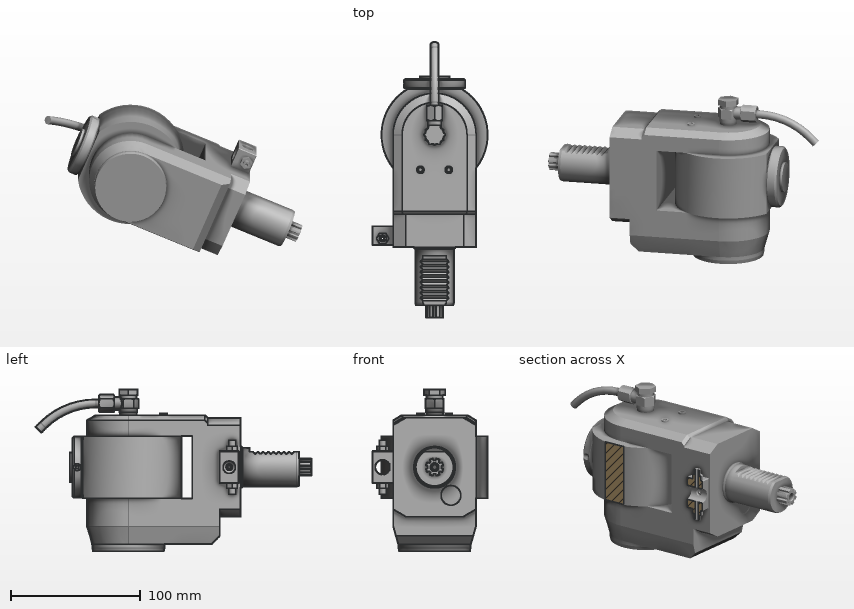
import cadquery as cq
import math


HALF_WIDTH = 32.0
OUTLINE_START_Y = -40.0
TOP_Z = 40.2
BOTTOM_Z = -59.2
SPINDLE_Y = 86.5
BEVEL_SLOPE = math.tan(math.radians(30))
TOP_BEVEL_WIDTH = 7.0
TAPER_START_Z = -45.4
TAPER_ANGLE = 16.0
LOWER_FRONT_Y = 16.0
LOWER_FRONT_CHAMFER = 6.3
WINDOW_HALF_HEIGHT = 24.0
WINDOW_FRONT_Y = 37.3

FLANGE_HALF_HEIGHT = 38.0
FLANGE_BEVEL_WIDTH = 9.7
FLANGE_LENGTH = 25.2
FLANGE_STEP_LENGTH = 2.3
STEP_FOOT_BEVEL_WIDTH = 7.5
PIN_HOLE_X = 12.6
PIN_HOLE_Z = -21.7
PIN_HOLE_RADIUS = 7.6
PIN_HOLE_DEPTH = 0.5

DRUM_RADIUS = 41.0
DRUM_FLAT_Y = 121.6
COVER_RADIUS = 27.9
COVER_RIM_HEIGHT = 2.8
COVER_END_RADIUS = 27.3
COVER_BOTTOM_Z = -64.9
NUT_RADIUS = 23.7
NUT_START_Y = 122.3
NUT_END_Y = 129.8
NUT_NECK_RADIUS = 21.4
NUT_FRONT_CHAMFER = 0.5
NUT_REAR_CHAMFER = 1.4
NOSE_RADIUS = 11.5
NOSE_END_Y = 131.7
NUT_SCREW_Y = 125.9
NUT_SCREW_RADIUS = 2.8
NUT_SCREW_BORE_RADIUS = 1.2
NUT_SCREW_DEPTH = 3.0

SHANK_RADIUS = 15.0
SHANK_LENGTH = 45.0
SHANK_END_CHAMFER = (2.0, 0.6)
COLLAR_RADIUS = 16.0
COLLAR_LENGTH = 1.6
FLAT_Z = 12.0
FLAT_START_Y = -6.9
FIRST_NOTCH_Y = -11.3
NOTCH_PITCH = 4.0
NOTCH_COUNT = 8
NOTCH_DEPTH = 1.8

SPLINE_RADIUS = 6.9
SPLINE_ROOT_RADIUS = 5.2
SPLINE_TOOTH_WIDTH = 2.6
SPLINE_TEETH = 8
SPLINE_LENGTH = 9.6
SPLINE_CHAMFER = 0.4
CENTRE_HOLE_RADIUS = 2.0
CENTRE_BORE_RADIUS = 2.7
CENTRE_BORE_DEPTH = 3.0
CENTRE_SINK_RADIUS = 3.3
CENTRE_HOLE_DEPTH = 6.0

BLOCK_OUTER_X = -48.0
BLOCK_START_Y = 1.2
BLOCK_END_Y = 16.2
BLOCK_HALF_HEIGHT = 12.5
BLOCK_CHAMFER = 0.5
BLOCK_PORT_X = -40.0
BLOCK_PORT_RADIUS = 5.6
SIDE_PORT_Y = 8.8
SIDE_PORT_RADIUS = 4.8
SIDE_PORT_BORE_RADIUS = 2.5
SIDE_PORT_BORE_DEPTH = 15.0
SIDE_PORT_PILOT_RADIUS = 1.3
NIPPLE_Y = 6.6
NIPPLE_HEX_ACROSS = 8.2
NIPPLE_HEX_HEIGHT = 3.8
NIPPLE_RADIUS = 2.7
NIPPLE_HEIGHT = 8.4
NIPPLE_BORE_RADIUS = 1.2

SCREW_X = 10.9
SCREW_Y = 59.5
SCREW_RADIUS = 2.8
SCREW_HEIGHT = 1.3
SCREW_SOCKET_ACROSS = 3.2

FITTING_BASE_RADIUS = 6.5
FITTING_RIM_RADIUS = 6.9
FITTING_NECK_RADIUS = 6.4
FITTING_HEX_ACROSS = 14.0
FITTING_HEX_CHAMFER = 0.8
FITTING_HEX_BOTTOM_Z = 45.3
FITTING_HEX_TOP_Z = 52.9
FITTING_RIM_BOTTOM_Z = 42.2
BOLT_HEAD_ACROSS = 14.3
BOLT_HEAD_BOTTOM_Z = 55.5
BOLT_HEAD_TOP_Z = 60.0
HOSE_Z = 49.1
STUB_RADIUS = 5.1
HOSE_NUT_START_Y = 97.3
HOSE_NUT_END_Y = 109.2
HOSE_NUT_ACROSS = 12.0
HOSE_NUT_CHAMFER = 0.9
HOSE_RADIUS = 3.2
HOSE_BEND_START_Y = 111.8
HOSE_BEND_RADIUS = 57.2
HOSE_BEND_ANGLE = 45.0
HOSE_TIP_LENGTH = 5.06


def box(x_range, y_range, z_range):
    """Box between two limits on each axis."""
    size = [high - low for low, high in (x_range, y_range, z_range)]
    corner = (x_range[0], y_range[0], z_range[0])
    return cq.Workplane("XY").box(*size, centered=False).translate(corner)


def cylinder(start, direction, radius, length):
    """Cylinder from a start point along a direction."""
    return cq.Workplane(cq.Solid.makeCylinder(radius, length, cq.Vector(*start), cq.Vector(*direction)))


def cone(start, direction, start_radius, end_radius, length):
    """Truncated cone from a start point along a direction."""
    return cq.Workplane(
        cq.Solid.makeCone(start_radius, end_radius, length, cq.Vector(*start), cq.Vector(*direction))
    )


def turned_about_y(profile):
    """Solid of revolution about the Y axis from (radius, y) points."""
    return cq.Workplane("XY").polyline(profile).close().revolve(360, (0, 0, 0), (0, 1, 0))


def corner_diameter(across_flats):
    """Diameter through the corners of a hexagon."""
    return across_flats / math.cos(math.radians(30))


def hex_along_z(centre, bottom_z, top_z, across_flats):
    """Hexagonal prism with two corners on the X direction."""
    plane = cq.Workplane("XY").workplane(offset=bottom_z).center(*centre)
    return plane.polygon(6, corner_diameter(across_flats)).extrude(top_z - bottom_z)


def rounded_end_outline(z):
    """Plan outline at height z: straight sides and a half-round rear end."""
    return (
        cq.Workplane("XY").workplane(offset=z)
        .moveTo(-HALF_WIDTH, OUTLINE_START_Y)
        .lineTo(HALF_WIDTH, OUTLINE_START_Y)
        .lineTo(HALF_WIDTH, SPINDLE_Y)
        .threePointArc((0, SPINDLE_Y + HALF_WIDTH), (-HALF_WIDTH, SPINDLE_Y))
        .close()
    )


def bevelled_section(workplane, top_z, top_bevel_width, bottom_z, bottom_bevel_width):
    """Cross-section of the front end, bevelled at its top and bottom corners."""
    top_shoulder_z = top_z - top_bevel_width * BEVEL_SLOPE
    bottom_shoulder_z = bottom_z + bottom_bevel_width * BEVEL_SLOPE
    top_half = HALF_WIDTH - top_bevel_width
    bottom_half = HALF_WIDTH - bottom_bevel_width
    return workplane.polyline([
        (-HALF_WIDTH, bottom_shoulder_z),
        (-bottom_half, bottom_z),
        (bottom_half, bottom_z),
        (HALF_WIDTH, bottom_shoulder_z),
        (HALF_WIDTH, top_shoulder_z),
        (top_half, top_z),
        (-top_half, top_z),
        (-HALF_WIDTH, top_shoulder_z),
    ]).close()


def make_flange():
    """Front slab, with a sloped step up to the higher top of the housing."""
    slab_plane = cq.Workplane("XZ")
    bottom_bevel = (-FLANGE_HALF_HEIGHT, FLANGE_BEVEL_WIDTH)
    slab = bevelled_section(slab_plane, FLANGE_HALF_HEIGHT, FLANGE_BEVEL_WIDTH, *bottom_bevel)
    slab = slab.extrude(-FLANGE_LENGTH)
    step_plane = cq.Workplane("XZ", origin=(0, FLANGE_LENGTH, 0))
    step = bevelled_section(step_plane, FLANGE_HALF_HEIGHT, STEP_FOOT_BEVEL_WIDTH, *bottom_bevel)
    step = step.workplane(offset=-FLANGE_STEP_LENGTH)
    step = bevelled_section(step, TOP_Z, TOP_BEVEL_WIDTH, *bottom_bevel).loft(ruled=True)
    pin_hole = cylinder((PIN_HOLE_X, 0, PIN_HOLE_Z), (0, 1, 0), PIN_HOLE_RADIUS, PIN_HOLE_DEPTH)
    return slab.union(step).cut(pin_hole)


def make_housing():
    """Rounded housing: bevelled top edge, tapered lower end and a window across it for the drum."""
    shoulder_z = TOP_Z - TOP_BEVEL_WIDTH * BEVEL_SLOPE
    middle = rounded_end_outline(TAPER_START_Z).extrude(shoulder_z - TAPER_START_Z)
    bevel_angle = math.degrees(math.atan(1 / BEVEL_SLOPE))
    top = rounded_end_outline(shoulder_z).extrude(TOP_Z - shoulder_z, taper=bevel_angle)
    lower = rounded_end_outline(TAPER_START_Z).extrude(BOTTOM_Z - TAPER_START_Z, taper=TAPER_ANGLE)
    body = middle.union(top).union(lower)

    flange_back_y = FLANGE_LENGTH + FLANGE_STEP_LENGTH
    rear_end_y = SPINDLE_Y + HALF_WIDTH
    chamfer_start_y = LOWER_FRONT_Y + LOWER_FRONT_CHAMFER
    side_envelope = (
        cq.Workplane("YZ")
        .polyline([
            (flange_back_y, TOP_Z),
            (rear_end_y, TOP_Z),
            (rear_end_y, BOTTOM_Z),
            (chamfer_start_y, BOTTOM_Z),
            (LOWER_FRONT_Y, BOTTOM_Z + LOWER_FRONT_CHAMFER),
            (LOWER_FRONT_Y, 0),
            (flange_back_y, 0),
        ]).close()
        .extrude(HALF_WIDTH, both=True)
    )
    window = box(
        (-HALF_WIDTH, HALF_WIDTH),
        (WINDOW_FRONT_Y, rear_end_y),
        (-WINDOW_HALF_HEIGHT, WINDOW_HALF_HEIGHT),
    )
    return body.intersect(side_envelope).union(make_flange()).cut(window)


def make_drum():
    """Vertical drum in the window, cut flat at the rear for the spindle nut."""
    drum = cylinder((0, SPINDLE_Y, -WINDOW_HALF_HEIGHT), (0, 0, 1), DRUM_RADIUS, 2 * WINDOW_HALF_HEIGHT)
    drum_end_y = SPINDLE_Y + DRUM_RADIUS
    behind_flat = box(
        (-DRUM_RADIUS, DRUM_RADIUS),
        (DRUM_FLAT_Y, drum_end_y),
        (-WINDOW_HALF_HEIGHT, WINDOW_HALF_HEIGHT),
    )
    return drum.cut(behind_flat)


def make_bottom_cover():
    """Round cover under the housing, slightly tapered below its rim."""
    rim_z = BOTTOM_Z - COVER_RIM_HEIGHT
    rim = cylinder((0, SPINDLE_Y, BOTTOM_Z), (0, 0, -1), COVER_RADIUS, COVER_RIM_HEIGHT)
    taper = cone((0, SPINDLE_Y, rim_z), (0, 0, -1), COVER_RADIUS, COVER_END_RADIUS, rim_z - COVER_BOTTOM_Z)
    return rim.union(taper)


def make_spindle_nut():
    """Clamping nut and nose on the drum flat, with a set screw recess in the -X side."""
    nut = turned_about_y([
        (0, SPINDLE_Y),
        (NUT_NECK_RADIUS, SPINDLE_Y),
        (NUT_NECK_RADIUS, NUT_START_Y),
        (NUT_RADIUS - NUT_FRONT_CHAMFER, NUT_START_Y),
        (NUT_RADIUS, NUT_START_Y + NUT_FRONT_CHAMFER),
        (NUT_RADIUS, NUT_END_Y - NUT_REAR_CHAMFER),
        (NUT_RADIUS - NUT_REAR_CHAMFER, NUT_END_Y),
        (NOSE_RADIUS, NUT_END_Y),
        (NOSE_RADIUS, NOSE_END_Y),
        (0, NOSE_END_Y),
    ])
    recess_length = NUT_SCREW_RADIUS - NUT_SCREW_BORE_RADIUS
    outside = (-NUT_RADIUS, NUT_SCREW_Y, 0)
    recess = cone(outside, (1, 0, 0), NUT_SCREW_RADIUS, NUT_SCREW_BORE_RADIUS, recess_length)
    bore = cylinder(outside, (1, 0, 0), NUT_SCREW_BORE_RADIUS, NUT_SCREW_DEPTH)
    return nut.cut(recess).cut(bore)


def make_shank():
    """Cylindrical shank with a collar and a flat cut by a row of V notches."""
    chamfer_length, chamfer_depth = SHANK_END_CHAMFER
    collar_step = COLLAR_RADIUS - SHANK_RADIUS
    shank = turned_about_y([
        (0, 0),
        (COLLAR_RADIUS, 0),
        (COLLAR_RADIUS, collar_step - COLLAR_LENGTH),
        (SHANK_RADIUS, -COLLAR_LENGTH),
        (SHANK_RADIUS, chamfer_length - SHANK_LENGTH),
        (SHANK_RADIUS - chamfer_depth, -SHANK_LENGTH),
        (0, -SHANK_LENGTH),
    ])
    above_flat = box(
        (-SHANK_RADIUS, SHANK_RADIUS),
        (-SHANK_LENGTH, FLAT_START_Y),
        (FLAT_Z, SHANK_RADIUS),
    )
    shank = shank.cut(above_flat)
    for index in range(NOTCH_COUNT):
        notch_y = FIRST_NOTCH_Y - index * NOTCH_PITCH
        notch = (
            cq.Workplane("YZ")
            .polyline([
                (notch_y - NOTCH_PITCH / 2, FLAT_Z),
                (notch_y, FLAT_Z - NOTCH_DEPTH),
                (notch_y + NOTCH_PITCH / 2, FLAT_Z),
            ]).close()
            .extrude(SHANK_RADIUS, both=True)
        )
        shank = shank.cut(notch)
    return shank


def make_spline():
    """Splined drive end with a chamfered tip and a centre hole."""
    start = (0, -SHANK_LENGTH, 0)
    tip_y = -SHANK_LENGTH - SPLINE_LENGTH
    spline = cylinder(start, (0, -1, 0), SPLINE_ROOT_RADIUS, SPLINE_LENGTH)
    half_tooth = SPLINE_TOOTH_WIDTH / 2
    angle_step = 360 / SPLINE_TEETH
    for index in range(SPLINE_TEETH):
        middle_angle = (index + 1 / 2) * angle_step
        tooth = box((-half_tooth, half_tooth), (tip_y, -SHANK_LENGTH), (0, SPLINE_RADIUS))
        spline = spline.union(tooth.rotate((0, 0, 0), (0, 1, 0), middle_angle))
    envelope = cylinder(start, (0, -1, 0), SPLINE_RADIUS, SPLINE_LENGTH).faces("<Y").chamfer(SPLINE_CHAMFER)
    tip = (0, tip_y, 0)
    hole = cylinder(tip, (0, 1, 0), CENTRE_HOLE_RADIUS, CENTRE_HOLE_DEPTH)
    bore = cylinder(tip, (0, 1, 0), CENTRE_BORE_RADIUS, CENTRE_BORE_DEPTH)
    sink_depth = CENTRE_SINK_RADIUS - CENTRE_BORE_RADIUS
    sink = cone(tip, (0, 1, 0), CENTRE_SINK_RADIUS, CENTRE_BORE_RADIUS, sink_depth)
    return spline.intersect(envelope).cut(hole).cut(bore).cut(sink)


def make_nipple():
    """Hexagon-based nipple standing on the top of the coolant block."""
    centre = (BLOCK_PORT_X, NIPPLE_Y)
    hex_top_z = BLOCK_HALF_HEIGHT + NIPPLE_HEX_HEIGHT
    hexagon = hex_along_z(centre, BLOCK_HALF_HEIGHT, hex_top_z, NIPPLE_HEX_ACROSS)
    stem = cylinder((*centre, BLOCK_HALF_HEIGHT), (0, 0, 1), NIPPLE_RADIUS, NIPPLE_HEIGHT)
    return hexagon.union(stem)


def make_coolant_block():
    """Coolant block with a through port, a side port and a nipple above and below."""
    block = box(
        (BLOCK_OUTER_X, -HALF_WIDTH),
        (BLOCK_START_Y, BLOCK_END_Y),
        (-BLOCK_HALF_HEIGHT, BLOCK_HALF_HEIGHT),
    )
    block = block.faces("<Y").edges("not >X").chamfer(BLOCK_CHAMFER)
    block = block.faces("<X").edges("|Y").chamfer(BLOCK_CHAMFER)
    block_length = BLOCK_END_Y - BLOCK_START_Y
    port = cylinder((BLOCK_PORT_X, BLOCK_START_Y, 0), (0, 1, 0), BLOCK_PORT_RADIUS, block_length)
    side = (BLOCK_OUTER_X, SIDE_PORT_Y, 0)
    sink_depth = SIDE_PORT_RADIUS - SIDE_PORT_BORE_RADIUS
    side_sink = cone(side, (1, 0, 0), SIDE_PORT_RADIUS, SIDE_PORT_BORE_RADIUS, sink_depth)
    nipple = make_nipple()
    lower_nipple = nipple.mirror("XY")
    side_bore = cylinder(side, (1, 0, 0), SIDE_PORT_BORE_RADIUS, SIDE_PORT_BORE_DEPTH)
    side_pilot = cylinder(side, (1, 0, 0), SIDE_PORT_PILOT_RADIUS, -HALF_WIDTH - BLOCK_OUTER_X)
    tip_z = BLOCK_HALF_HEIGHT + NIPPLE_HEIGHT
    nipple_bore = cylinder((BLOCK_PORT_X, NIPPLE_Y, -tip_z), (0, 0, 1), NIPPLE_BORE_RADIUS, 2 * tip_z)
    block = block.union(nipple).union(lower_nipple)
    for opening in (port, side_sink, side_bore, side_pilot, nipple_bore):
        block = block.cut(opening)
    return block


def make_screw(x):
    """Low round screw head with a hexagon socket."""
    head = cylinder((x, SCREW_Y, TOP_Z), (0, 0, 1), SCREW_RADIUS, SCREW_HEIGHT)
    socket = hex_along_z((x, SCREW_Y), TOP_Z, TOP_Z + SCREW_HEIGHT, SCREW_SOCKET_ACROSS)
    return head.cut(socket)


def make_fitting():
    """Swivel fitting: round base, hexagon body, neck and bolt head."""
    centre = (0, SPINDLE_Y)
    base_height = FITTING_RIM_BOTTOM_Z - TOP_Z
    base = cylinder((*centre, TOP_Z), (0, 0, 1), FITTING_BASE_RADIUS, base_height)
    rim_height = FITTING_HEX_BOTTOM_Z - FITTING_RIM_BOTTOM_Z
    rim = cylinder((*centre, FITTING_RIM_BOTTOM_Z), (0, 0, 1), FITTING_RIM_RADIUS, rim_height)
    hex_height = FITTING_HEX_TOP_Z - FITTING_HEX_BOTTOM_Z
    body = hex_along_z((0, 0), FITTING_HEX_BOTTOM_Z, FITTING_HEX_TOP_Z, FITTING_HEX_ACROSS)
    body = body.rotate((0, 0, 0), (0, 0, 1), 90).translate((*centre, 0))
    hex_radius = corner_diameter(FITTING_HEX_ACROSS) / 2
    envelope = cylinder((*centre, FITTING_HEX_BOTTOM_Z), (0, 0, 1), hex_radius, hex_height)
    envelope = envelope.faces(">Z").chamfer(FITTING_HEX_CHAMFER)
    neck_height = BOLT_HEAD_BOTTOM_Z - FITTING_HEX_TOP_Z
    neck = cylinder((*centre, FITTING_HEX_TOP_Z), (0, 0, 1), FITTING_NECK_RADIUS, neck_height)
    head = hex_along_z(centre, BOLT_HEAD_BOTTOM_Z, BOLT_HEAD_TOP_Z, BOLT_HEAD_ACROSS)
    return base.union(rim).union(body.intersect(envelope)).union(neck).union(head)


def make_hose():
    """Stub, union nut and a hose that bends down behind the fitting."""
    stub_start = (0, SPINDLE_Y, HOSE_Z)
    stub = cylinder(stub_start, (0, 1, 0), STUB_RADIUS, HOSE_NUT_START_Y - SPINDLE_Y)
    nut_length = HOSE_NUT_END_Y - HOSE_NUT_START_Y
    nut = (
        cq.Workplane("XZ", origin=(0, HOSE_NUT_START_Y, HOSE_Z))
        .transformed(rotate=(0, 0, 90))
        .polygon(6, corner_diameter(HOSE_NUT_ACROSS))
        .extrude(-nut_length)
    )
    nut_radius = corner_diameter(HOSE_NUT_ACROSS) / 2
    envelope = cylinder((0, HOSE_NUT_START_Y, HOSE_Z), (0, 1, 0), nut_radius, nut_length)
    nut = nut.intersect(envelope.faces("<Y or >Y").chamfer(HOSE_NUT_CHAMFER))
    bend = math.radians(HOSE_BEND_ANGLE)
    bend_end_y = HOSE_BEND_START_Y + HOSE_BEND_RADIUS * math.sin(bend)
    bend_end_z = HOSE_Z - HOSE_BEND_RADIUS * (1 - math.cos(bend))
    middle_y = HOSE_BEND_START_Y + HOSE_BEND_RADIUS * math.sin(bend / 2)
    middle_z = HOSE_Z - HOSE_BEND_RADIUS * (1 - math.cos(bend / 2))
    path = (
        cq.Workplane("YZ")
        .moveTo(HOSE_NUT_END_Y, HOSE_Z)
        .lineTo(HOSE_BEND_START_Y, HOSE_Z)
        .threePointArc((middle_y, middle_z), (bend_end_y, bend_end_z))
        .line(HOSE_TIP_LENGTH * math.cos(bend), -HOSE_TIP_LENGTH * math.sin(bend))
    )
    hose = cq.Workplane("XZ", origin=(0, HOSE_NUT_END_Y, HOSE_Z)).circle(HOSE_RADIUS).sweep(path)
    return stub.union(nut).union(hose)


result = make_housing()
for feature in (
    make_drum(),
    make_bottom_cover(),
    make_spindle_nut(),
    make_shank(),
    make_spline(),
    make_coolant_block(),
    make_screw(-SCREW_X),
    make_screw(SCREW_X),
    make_fitting(),
    make_hose(),
):
    result = result.union(feature)